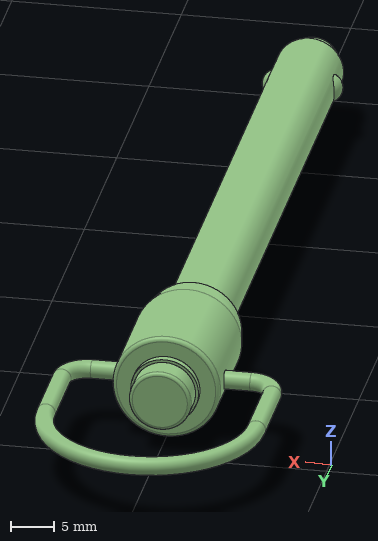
import cadquery as cq
import math


shank_diameter = 8.0
shank_length = 74.5
tip_diameter = 6.0
tip_length = 2.5

ball_diameter = 3.5
ball_span = 9.5
ball_to_tip = 7.0

body_diameter = 12.7
body_end_diameter = 11.4
body_length = 17.0
body_taper_length = 3.4
body_fillet = 0.5
shoulder_fillet = 0.25

collar_diameter = 8.0
collar_length = 0.9
button_diameter = 7.3
button_length = 3.0
button_fillet = 0.4

overall_length = 114.24
handle_width = 27.0
wire_diameter = 2.2
bend_radius = 3.0
handle_bar_y = 13.5

tolerance = 0.001

body_radius = body_diameter / 2
tip_y = -shank_length
body_top_y = body_length
collar_top_y = body_top_y + collar_length
button_top_y = collar_top_y + button_length
handle_top_y = overall_length - shank_length
arch_radius = (handle_width - wire_diameter) / 2
arch_center_y = handle_top_y - handle_width / 2


def fillet_circle(solid, radius, y, fillet_radius):
    """Round the circular edge of the given radius that is centered on the Y axis at y."""

    def is_wanted(edge):
        if edge.geomType() != "CIRCLE":
            return False
        return abs(edge.radius() - radius) < tolerance and abs(edge.Center().y - y) < tolerance

    return solid.edges().filter(is_wanted).fillet(fillet_radius)


def make_pin():
    """Shank, body, collar and button, revolved as one half outline about Y."""
    half_outline = [
        (0, tip_y),
        (tip_diameter / 2, tip_y),
        (shank_diameter / 2, tip_y + tip_length),
        (shank_diameter / 2, 0),
        (body_end_diameter / 2, 0),
        (body_radius, body_taper_length),
        (body_radius, body_top_y),
        (collar_diameter / 2, body_top_y),
        (collar_diameter / 2, collar_top_y),
        (button_diameter / 2, collar_top_y),
        (button_diameter / 2, button_top_y),
        (0, button_top_y),
    ]
    pin = cq.Workplane("XY").polyline(half_outline).close().revolve(360, (0, 0), (0, 1))
    pin = fillet_circle(pin, shank_diameter / 2, 0, shoulder_fillet)
    pin = fillet_circle(pin, body_radius, body_top_y, body_fillet)
    return fillet_circle(pin, button_diameter / 2, button_top_y, button_fillet)


def make_balls():
    """Two balls on opposite sides of the shank, standing slightly proud of it."""
    ball_x = (ball_span - ball_diameter) / 2
    ball_centers = [(side * ball_x, tip_y + ball_to_tip) for side in (-1, 1)]
    return cq.Workplane("XY").pushPoints(ball_centers).sphere(ball_diameter / 2)


def make_handle():
    """D-shaped wire loop in the XY plane whose bottom bar runs through the body."""
    bend_inset = bend_radius * (1 - math.sqrt(0.5))
    bar_end_x = arch_radius - bend_radius
    bend_top_y = handle_bar_y + bend_radius
    bend_middle_x = arch_radius - bend_inset
    bend_middle_y = handle_bar_y + bend_inset
    path = (
        cq.Workplane("XY")
        .moveTo(0, handle_bar_y)
        .lineTo(bar_end_x, handle_bar_y)
        .threePointArc((bend_middle_x, bend_middle_y), (arch_radius, bend_top_y))
        .lineTo(arch_radius, arch_center_y)
        .threePointArc((0, arch_center_y + arch_radius), (-arch_radius, arch_center_y))
        .lineTo(-arch_radius, bend_top_y)
        .threePointArc((-bend_middle_x, bend_middle_y), (-bar_end_x, handle_bar_y))
        .close()
    )
    wire_section = cq.Workplane("YZ").center(handle_bar_y, 0).circle(wire_diameter / 2)
    return wire_section.sweep(path)


result = make_pin().union(make_balls()).union(make_handle())